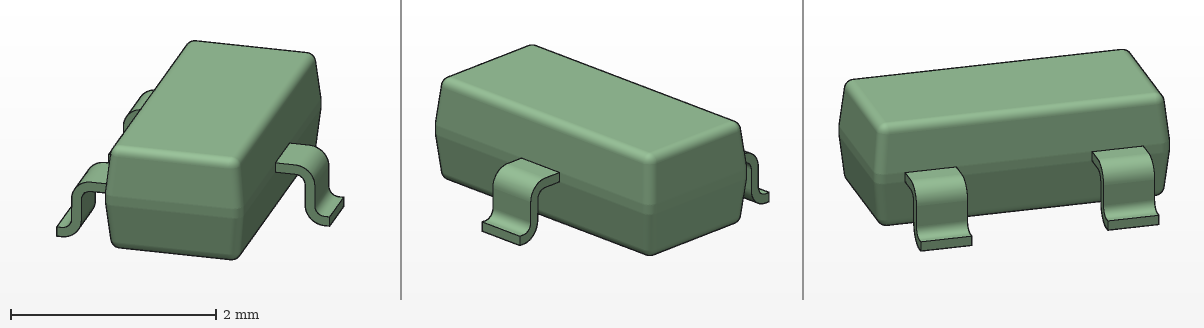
import cadquery as cq
import math

LEAD_SPAN = 2.5
BODY_WIDTH = 1.4
BODY_LENGTH = 3.0
TOTAL_HEIGHT = 1.1
STANDOFF = 0.02

DRAFT_ANGLE = 6.0
BODY_FILLET = 0.1

LEAD_THICKNESS = 0.1
LEAD_WIDTH = 0.52
BEND_INNER_RADIUS = 0.1
FOOT_FLAT = 0.05
LEAD_PITCH = 1.9

BAND_HEIGHT = LEAD_THICKNESS
BODY_MID_Z = (STANDOFF + TOTAL_HEIGHT) / 2
BAND_TOP_Z = BODY_MID_Z + BAND_HEIGHT / 2
HALF_HEIGHT = TOTAL_HEIGHT - BAND_TOP_Z
BEND_OUTER_RADIUS = BEND_INNER_RADIUS + LEAD_THICKNESS


def make_body():
    """Moulded package: a straight parting band with a drafted half above and below it."""
    band = cq.Workplane("XY", origin=(0, 0, BODY_MID_Z)).box(BODY_WIDTH, BODY_LENGTH, BAND_HEIGHT)
    upper_half = (
        cq.Workplane("XY", origin=(0, 0, BAND_TOP_Z))
        .rect(BODY_WIDTH, BODY_LENGTH)
        .extrude(HALF_HEIGHT, taper=DRAFT_ANGLE)
    )
    lower_half = upper_half.mirror("XY", (0, 0, BODY_MID_Z))
    body = band.union(upper_half).union(lower_half)

    return body.edges().fillet(BODY_FILLET)


def make_lead(center_y):
    """Gull-wing lead on the +X side, running from the band face out to the foot tip."""
    root_x = BODY_WIDTH / 2
    tip_x = LEAD_SPAN / 2
    lower_bend_x = tip_x - FOOT_FLAT
    leg_outer_x = lower_bend_x - BEND_INNER_RADIUS
    leg_inner_x = leg_outer_x - LEAD_THICKNESS
    upper_bend_x = leg_inner_x - BEND_INNER_RADIUS
    lead_top_z = BAND_TOP_Z
    lead_under_z = lead_top_z - LEAD_THICKNESS
    upper_bend_z = lead_top_z - BEND_OUTER_RADIUS
    lower_bend_z = BEND_OUTER_RADIUS
    diagonal = math.sqrt(0.5)

    def upper_bend_mid(radius):
        return (upper_bend_x + radius * diagonal, upper_bend_z + radius * diagonal)

    def lower_bend_mid(radius):
        return (lower_bend_x - radius * diagonal, lower_bend_z - radius * diagonal)

    return (
        cq.Workplane("XZ", origin=(0, center_y, 0))
        .moveTo(root_x, lead_top_z)
        .lineTo(upper_bend_x, lead_top_z)
        .threePointArc(upper_bend_mid(BEND_OUTER_RADIUS), (leg_outer_x, upper_bend_z))
        .lineTo(leg_outer_x, lower_bend_z)
        .threePointArc(lower_bend_mid(BEND_INNER_RADIUS), (lower_bend_x, LEAD_THICKNESS))
        .lineTo(tip_x, LEAD_THICKNESS)
        .lineTo(tip_x, 0)
        .lineTo(lower_bend_x, 0)
        .threePointArc(lower_bend_mid(BEND_OUTER_RADIUS), (leg_inner_x, lower_bend_z))
        .lineTo(leg_inner_x, upper_bend_z)
        .threePointArc(upper_bend_mid(BEND_INNER_RADIUS), (upper_bend_x, lead_under_z))
        .lineTo(root_x, lead_under_z)
        .close()
        .extrude(LEAD_WIDTH / 2, both=True)
    )


body = make_body()

leads = [make_lead(0)]
for side in (-1, 1):
    leads.append(make_lead(side * LEAD_PITCH / 2).mirror("YZ"))

result = cq.Compound.makeCompound([body.val(), *[lead.val() for lead in leads]])